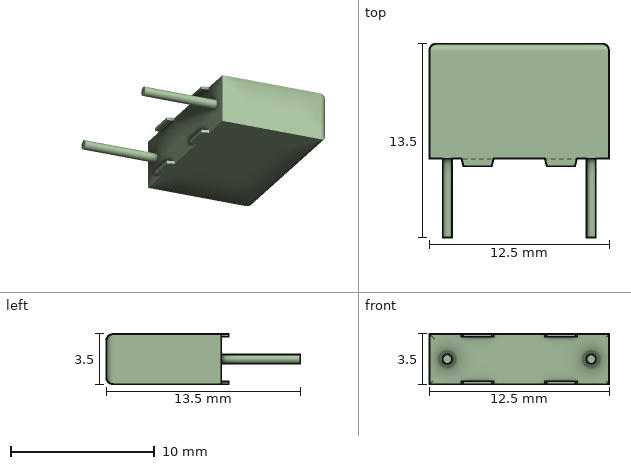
import cadquery as cq

TOTAL_LENGTH = 13.5
HOUSING_WIDTH = 12.5
HOUSING_HEIGHT = 3.5
LEAD_LENGTH = 5.5
HOUSING_LENGTH = TOTAL_LENGTH - LEAD_LENGTH
BACK_FILLET = 0.5

LEAD_DIAMETER = 0.66
LEAD_PITCH = 10.0

FOOT_PITCH = 5.79
FOOT_BASE_WIDTH = 2.24
FOOT_TIP_WIDTH = 1.97
FOOT_LENGTH = 0.53
FOOT_THICKNESS = 0.2


def make_foot(center_x, bottom_z):
    """One trapezoidal foot projecting from the lead face (the plane Y = 0) toward -Y."""
    half_base = FOOT_BASE_WIDTH / 2
    half_tip = FOOT_TIP_WIDTH / 2
    outline = [
        (center_x - half_base, 0),
        (center_x + half_base, 0),
        (center_x + half_tip, -FOOT_LENGTH),
        (center_x - half_tip, -FOOT_LENGTH),
    ]
    return (
        cq.Workplane("XY")
        .workplane(offset=bottom_z)
        .polyline(outline)
        .close()
        .extrude(FOOT_THICKNESS)
    )


def make_housing():
    """Box with rounded edges around its back face and four feet on its lead face."""
    housing = (
        cq.Workplane("XY")
        .box(HOUSING_WIDTH, HOUSING_LENGTH, HOUSING_HEIGHT, centered=(True, False, True))
        .faces(">Y")
        .edges()
        .fillet(BACK_FILLET)
    )
    lower_foot_z = -HOUSING_HEIGHT / 2
    upper_foot_z = HOUSING_HEIGHT / 2 - FOOT_THICKNESS
    for center_x in (-FOOT_PITCH / 2, FOOT_PITCH / 2):
        for bottom_z in (lower_foot_z, upper_foot_z):
            housing = housing.union(make_foot(center_x, bottom_z))
    return housing


def make_lead(center_x):
    """One round wire lead running from the lead face toward -Y."""
    return (
        cq.Workplane("XZ")
        .center(center_x, 0)
        .circle(LEAD_DIAMETER / 2)
        .extrude(LEAD_LENGTH)
    )


housing = make_housing()
leads = [make_lead(center_x) for center_x in (-LEAD_PITCH / 2, LEAD_PITCH / 2)]

result = cq.Compound.makeCompound([housing.val(), *[lead.val() for lead in leads]])